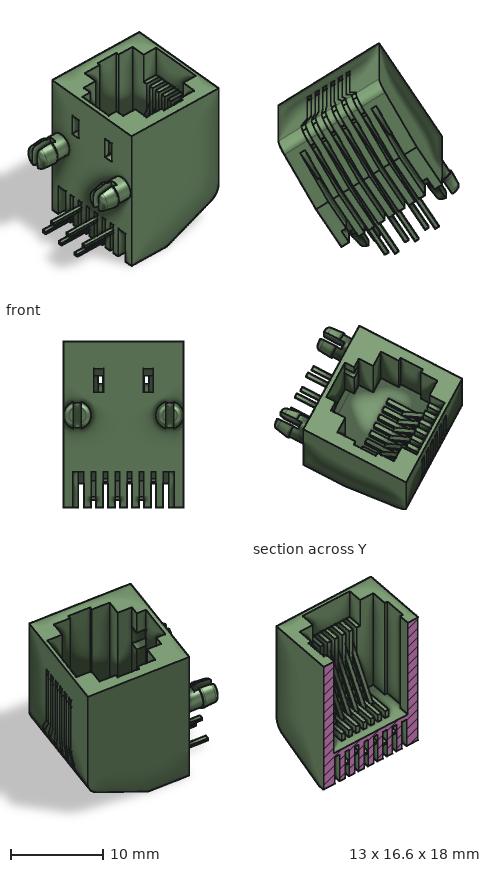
import cadquery as cq
import math


width = 13.0
depth = 12.6
height = 18.0
foot_depth = 5.08
slope_angle = math.radians(24.7)
back_corner_radius = 2.0

floor_z = 4.6
plug_half_width = 5.05
plug_front_y = 3.42
plug_back_y = 10.33
shoulder_half_width = 5.43
shoulder_front_y = 5.62
shoulder_back_y = 8.32
latch_half_width = 3.24
latch_front_y = 1.67
tab_half_width = 2.16
tab_front_y = 0.54
ramp_length = 0.6
ramp_drop = 0.12

contact_count = 6
contact_pitch = 1.0
comb_back_y = 12.155
comb_top_z = 14.25
low_comb_front_y = 5.31
low_comb_height = 1.0

wire_width = 0.5
wire_thickness = 0.33
pin_pitch = 1.3
pin_length = 4.01
low_pin_z = 0.82
high_pin_z = 2.795
bend_radius = 0.45
bend_top_z = 13.42
finger_angle = math.radians(61.0)
finger_tip_y = 7.35
fan_top_z = 6.4
fan_bottom_z = 5.0
wire_corner_radius = 2.2

slot_depth = 7.2
slot_top_z = 3.87
channel_top_z = 2.59
end_slot_inner_x = 4.29
end_slot_outer_x = 4.90
end_pocket_outer_x = 5.51
end_pocket_depth = 1.5

window_inner_x = 2.14
window_outer_x = 3.23
window_bottom_z = 12.51
window_top_z = 15.04

peg_x = 5.0
peg_z = 10.0
peg_length = 3.8
shank_radius = 1.35
head_radius = 1.5
head_start = 1.8
head_straight_end = 2.03
left_taper_radius = 1.40
right_taper_radius = 1.26
tip_round = 0.48
peg_slot_width = 0.83
peg_slot_start = 1.2


def box(x0, x1, y0, y1, z0, z1):
    """Axis-aligned block between two opposite corners."""
    return cq.Workplane("XY").box(x1 - x0, y1 - y0, z1 - z0, centered=False).translate((x0, y0, z0))


def make_block():
    """Housing block: sloped underside running into a rounded back corner."""
    back_edge_z = (depth - foot_depth) * math.tan(slope_angle)
    return (
        cq.Workplane("YZ", origin=(-width / 2, 0, 0))
        .moveTo(0, 0)
        .lineTo(foot_depth, 0)
        .lineTo(depth, back_edge_z)
        .lineTo(depth, height)
        .lineTo(0, height)
        .close()
        .extrude(width)
        .edges(cq.selectors.NearestToPointSelector((0, depth, back_edge_z)))
        .fillet(back_corner_radius)
    )


def centered_positions(pitch):
    """X positions of the contacts, left to right, for a given pitch."""
    return [(i - (contact_count - 1) / 2) * pitch for i in range(contact_count)]


def make_peg(x, taper_radius):
    """Split snap peg standing out of the mounting face along -Y."""
    tip_radius = taper_radius - tip_round
    taper_end = peg_length - tip_round
    round_middle = tip_round * math.sqrt(0.5)
    peg = (
        cq.Workplane("XY")
        .moveTo(0, 0)
        .lineTo(shank_radius, 0)
        .lineTo(shank_radius, -head_start)
        .lineTo(head_radius, -head_start)
        .lineTo(head_radius, -head_straight_end)
        .lineTo(taper_radius, -taper_end)
        .threePointArc((tip_radius + round_middle, -taper_end - round_middle), (tip_radius, -peg_length))
        .lineTo(0, -peg_length)
        .close()
        .revolve(360, (0, 0, 0), (0, 1, 0))
    )
    half_slot = peg_slot_width / 2
    split = box(-half_slot, half_slot, -peg_length, -peg_slot_start, -head_radius, head_radius)
    return peg.cut(split).translate((x, 0, peg_z))


def make_cavity():
    """Stepped plug opening, with a shallow ramp in its floor at the latch tab."""
    regions = [
        (plug_half_width, plug_front_y, plug_back_y),
        (shoulder_half_width, shoulder_front_y, shoulder_back_y),
        (latch_half_width, latch_front_y, comb_back_y),
        (tab_half_width, tab_front_y, latch_front_y),
    ]
    half_width, front_y, back_y = regions[0]
    cavity = box(-half_width, half_width, front_y, back_y, floor_z, height)
    for half_width, front_y, back_y in regions[1:]:
        cavity = cavity.union(box(-half_width, half_width, front_y, back_y, floor_z, height))
    ramp = (
        cq.Workplane("YZ", origin=(-tab_half_width, 0, 0))
        .moveTo(tab_front_y, floor_z)
        .lineTo(tab_front_y, floor_z - ramp_drop)
        .lineTo(tab_front_y + ramp_length, floor_z)
        .close()
        .extrude(2 * tab_half_width)
    )
    return cavity.union(ramp)


def make_comb():
    """Comb that keeps the contacts apart: tall teeth at the back, low ribs along the floor."""
    left, right = -latch_half_width, latch_half_width
    rib_top_z = floor_z + low_comb_height
    teeth = box(left, right, plug_back_y, comb_back_y, floor_z, comb_top_z)
    ribs = box(left, right, low_comb_front_y, plug_back_y, floor_z, rib_top_z)
    return teeth.union(ribs)


def make_contact_slots():
    """Gaps between the comb teeth, running out through the back wall above the fanned wires."""
    slots = []
    for x in centered_positions(contact_pitch):
        left = x - wire_width / 2
        right = x + wire_width / 2
        slots.append(box(left, right, low_comb_front_y, comb_back_y, floor_z, comb_top_z))
        slots.append(box(left, right, comb_back_y, depth, fan_top_z, comb_top_z))
    return slots


def foot_slot(x0, x1):
    """Slot open at the foot, its lower part running on through the sloped underside."""
    return box(x0, x1, 0, slot_depth, 0, slot_top_z).union(box(x0, x1, 0, depth, 0, channel_top_z))


def make_foot_slots():
    """Slots for the contact legs and the wider stepped slot at each end of the row."""
    slots = []
    for x in centered_positions(pin_pitch):
        slots.append(foot_slot(x - wire_width / 2, x + wire_width / 2))
    for side in (-1, 1):
        slots.append(foot_slot(*sorted((side * end_slot_inner_x, side * end_slot_outer_x))))
        x0, x1 = sorted((side * end_slot_inner_x, side * end_pocket_outer_x))
        slots.append(box(x0, x1, 0, end_pocket_depth, 0, slot_top_z))
    return slots


def make_contact(top_x, pin_x, pin_z):
    """One bent contact: spring finger, back run, sideways jog, leg and solder pin."""
    half = wire_width / 2
    inner_y = depth - wire_thickness

    center_y = depth - bend_radius
    center_z = bend_top_z - bend_radius
    inner_radius = bend_radius - wire_thickness

    def on_bend(radius, angle):
        """Point on the bend; the angle is measured from +Y towards +Z."""
        return (center_y + radius * math.cos(angle), center_z + radius * math.sin(angle))

    end_angle = math.pi / 2 + finger_angle
    outer_end = on_bend(bend_radius, end_angle)
    inner_end = on_bend(inner_radius, end_angle)
    tip_run = outer_end[0] - finger_tip_y
    tip_drop = tip_run * math.tan(finger_angle)
    finger = (
        cq.Workplane("YZ", origin=(top_x - half, 0, 0))
        .moveTo(depth, fan_top_z)
        .lineTo(depth, center_z)
        .threePointArc(on_bend(bend_radius, end_angle / 2), outer_end)
        .lineTo(outer_end[0] - tip_run, outer_end[1] - tip_drop)
        .lineTo(inner_end[0] - tip_run, inner_end[1] - tip_drop)
        .lineTo(*inner_end)
        .threePointArc(on_bend(inner_radius, end_angle / 2), (inner_y, center_z))
        .lineTo(inner_y, fan_top_z)
        .close()
        .extrude(wire_width)
    )

    jog = (
        cq.Workplane("XZ", origin=(0, depth, 0))
        .moveTo(top_x - half, fan_top_z)
        .lineTo(top_x + half, fan_top_z)
        .lineTo(pin_x + half, fan_bottom_z)
        .lineTo(pin_x - half, fan_bottom_z)
        .close()
        .extrude(wire_thickness)
    )

    left, right = pin_x - half, pin_x + half
    level_top_z = channel_top_z + wire_thickness
    corner_y = depth - wire_corner_radius
    corner_z = channel_top_z + wire_corner_radius
    diagonal = math.sqrt(0.5)
    inner_corner_radius = wire_corner_radius - wire_thickness
    leg = (
        cq.Workplane("YZ", origin=(left, 0, 0))
        .moveTo(0, pin_z)
        .lineTo(slot_depth, channel_top_z)
        .lineTo(corner_y, channel_top_z)
        .threePointArc(
            (corner_y + wire_corner_radius * diagonal, corner_z - wire_corner_radius * diagonal),
            (depth, corner_z),
        )
        .lineTo(depth, fan_bottom_z)
        .lineTo(inner_y, fan_bottom_z)
        .lineTo(inner_y, corner_z)
        .threePointArc(
            (corner_y + inner_corner_radius * diagonal, corner_z - inner_corner_radius * diagonal),
            (corner_y, level_top_z),
        )
        .lineTo(slot_depth, level_top_z)
        .lineTo(0, pin_z + wire_thickness)
        .close()
        .extrude(wire_width)
    )

    pin = box(left, right, -pin_length, 0, pin_z, pin_z + wire_thickness)

    return finger.union(jog).union(leg).union(pin)


def make_contacts():
    """All contacts, with the pins alternating between the lower and the upper row."""
    contacts = []
    positions = zip(centered_positions(contact_pitch), centered_positions(pin_pitch))
    for i, (top_x, pin_x) in enumerate(positions):
        pin_z = low_pin_z if i % 2 == 0 else high_pin_z
        contacts.append(make_contact(top_x, pin_x, pin_z))
    return contacts


def make_housing(contacts):
    """Housing with its pegs; every contact lies in a matching groove."""
    housing = make_block().cut(make_cavity()).union(make_comb())
    for slot in make_contact_slots() + make_foot_slots():
        housing = housing.cut(slot)
    for side in (-1, 1):
        x0, x1 = sorted((side * window_inner_x, side * window_outer_x))
        housing = housing.cut(box(x0, x1, 0, plug_front_y, window_bottom_z, window_top_z))
    housing = housing.union(make_peg(-peg_x, left_taper_radius)).union(make_peg(peg_x, right_taper_radius))
    for contact in contacts:
        housing = housing.cut(contact)
    return housing


contacts = make_contacts()
housing = make_housing(contacts)

result = cq.Compound.makeCompound([housing.val(), *[contact.val() for contact in contacts]])